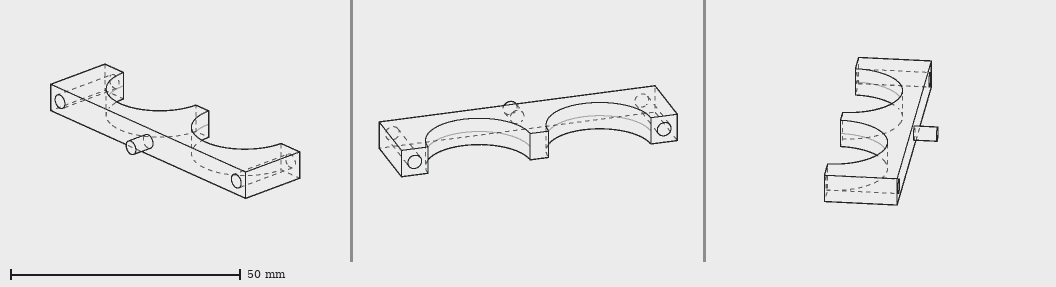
import cadquery as cq

length = 63.25
depth = 16.0
height = 6.3

saddle_diameter = 23.4
saddle_spacing = 27.65

hole_diameter = 3.15
hole_spacing = 57.2
pin_diameter = 3.15
pin_length = 5.05


def make_block():
    """Block centred on X and Z, with its front face at Y = 0."""
    return cq.Workplane("XY").box(length, depth, height, centered=(True, False, True))


def make_saddles():
    """Vertical cylinders centred on the back face."""
    return (
        cq.Workplane("XY")
        .pushPoints([(side * saddle_spacing / 2, depth) for side in (-1, 1)])
        .circle(saddle_diameter / 2)
        .extrude(height / 2, both=True)
    )


def make_holes():
    """Cylinders running from the front face to the back face."""
    return (
        cq.Workplane("XZ")
        .pushPoints([(side * hole_spacing / 2, 0) for side in (-1, 1)])
        .circle(hole_diameter / 2)
        .extrude(-depth)
    )


def make_pin():
    """Central pin standing out of the front face towards -Y."""
    return cq.Workplane("XZ").circle(pin_diameter / 2).extrude(pin_length)


result = make_block().cut(make_saddles()).cut(make_holes()).union(make_pin())